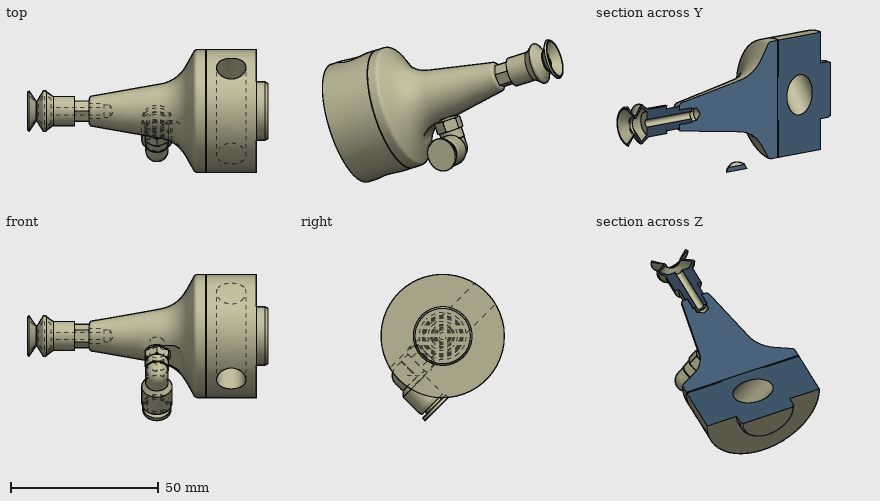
import cadquery as cq
import math


overall_length = 81.8
spigot_length = 4.0
base_length = 17.0
joint_gap = 0.2
rim_width = 2.7
cup_length = 16.0
hex_length = 5.0

spigot_start = overall_length - spigot_length
base_start = spigot_start - base_length
housing_end = base_start - joint_gap
housing_start = cup_length + hex_length

rim_radius = 21.0
rim_fillet = 1.5
nose_fillet = 1.2
slim_angle = math.radians(10)
steep_angle = math.radians(60)
slim_end_x = 45.4
slim_end_radius = 9.3
blend_radius = 12.0

spigot_radius = 10.0
spigot_chamfer_length = 1.1
spigot_chamfer_depth = 0.6
cross_hole_diameter = 10.0
land_radius = 8.0

stud_diameter = 5.0
stud_length = 5.0
tap_drill_diameter = 4.2
tap_drill_extra = 2.0
drill_tip_half_angle = math.radians(59)

lip_radius = 6.9
lip_face_radius = 6.5
lip_mouth_radius = 6.1
lip_width = 0.6
neck_radius = 3.5
neck_start = 2.9
neck_end = 3.3
fold_radius = 7.0
fold_flank_radius = 6.6
fold_start = 5.2
fold_end = 6.5
shoulder_start = 8.4
shoulder_radius = 5.2
sleeve_start = 8.9
sleeve_radius = 5.0
throat_outer_radius = 2.9
throat_inner_radius = 2.5
throat_end = 3.7
cavity_radius = 6.0
cavity_peak = 5.8
cavity_floor = 8.0
cavity_floor_radius = 4.0
bore_diameter = 2.5
cup_hex_flats = 7.0
cup_hex_end_radius = 3.8
cup_hex_bevel = 0.25

elbow_x = 44.0
elbow_tilt = -45
seat_distance = 8.0
seat_ring_radius = 3.94
elbow_hex_start = 8.9
elbow_hex_end = 12.7
elbow_hex_flats = 8.0
elbow_hex_end_radius = 4.3
elbow_hex_bevel = 0.3
swivel_radius = 3.94
swivel_end = 15.9
swivel_groove_width = 0.2
swivel_groove_radius = 3.7
corner_distance = 19.0
tube_radius = 3.8
collar_radius = 5.2
collar_bevel_start = 3.6
collar_start = 5.2
collar_taper_start = 12.8
collar_end = 13.9
collar_end_radius = 4.85
ring_neck_radius = 3.5
ring_start = 14.9
ring_end = 16.14
ring_long_radius = 5.6
ring_short_radius = 4.85
hex_recess_diameter = 9.3
scoop_diameter = 16.0
scoop_offset = 1.7
scoop_distance = 16.65


def turned(profile):
    """Close a profile of (x, radius) points drawn on XY and turn it about the X axis."""
    return profile.close().revolve(360, (0, 0, 0), (1, 0, 0))


def x_cylinder(diameter, start, length):
    return cq.Workplane("YZ", origin=(start, 0, 0)).circle(diameter / 2).extrude(length)


def tilt(body):
    """Turn a body built below the main axis to the place of the elbow."""
    return body.rotate((0, 0, 0), (1, 0, 0), elbow_tilt)


def down_cylinder(diameter, start, length):
    """Cylinder on the elbow's inlet axis, measured downward from the main axis."""
    plane = cq.Workplane("XY", origin=(elbow_x, 0, -start))
    return plane.circle(diameter / 2).extrude(-length)


def drill_tip_length(diameter):
    return diameter / 2 / math.tan(drill_tip_half_angle)


def housing_blank():
    nose_end_radius = slim_end_radius - (slim_end_x - housing_start - nose_fillet) * math.tan(slim_angle)
    center_x = slim_end_x - blend_radius * math.sin(slim_angle)
    center_r = slim_end_radius + blend_radius * math.cos(slim_angle)
    middle_angle = (slim_angle + steep_angle) / 2

    def blend_point(angle):
        return center_x + blend_radius * math.sin(angle), center_r - blend_radius * math.cos(angle)

    rim_start = housing_end - rim_width

    def rim_point(angle):
        x = rim_start - rim_fillet * math.sin(angle)
        return x, rim_radius - rim_fillet * (1 - math.cos(angle))

    profile = (
        cq.Workplane("XY")
        .moveTo(housing_start, 0)
        .lineTo(housing_start, nose_end_radius - nose_fillet)
        .radiusArc((housing_start + nose_fillet, nose_end_radius), nose_fillet)
        .lineTo(slim_end_x, slim_end_radius)
        .threePointArc(blend_point(middle_angle), blend_point(steep_angle))
        .lineTo(*rim_point(steep_angle))
        .threePointArc(rim_point(steep_angle / 2), (rim_start, rim_radius))
        .lineTo(housing_end, rim_radius)
        .lineTo(housing_end, 0)
    )
    return turned(profile)


def nose_hole():
    drill_end = housing_start + stud_length + tap_drill_extra
    profile = (
        cq.Workplane("XY")
        .moveTo(housing_start, 0)
        .lineTo(housing_start, stud_diameter / 2)
        .lineTo(housing_start + stud_length, stud_diameter / 2)
        .lineTo(housing_start + stud_length, tap_drill_diameter / 2)
        .lineTo(drill_end, tap_drill_diameter / 2)
        .lineTo(drill_end + drill_tip_length(tap_drill_diameter), 0)
    )
    return turned(profile)


def make_housing():
    stud_hole = down_cylinder(stud_diameter, seat_distance - stud_length, stud_length)
    seat = down_cylinder(2 * seat_ring_radius, seat_distance, elbow_hex_start - seat_distance)
    hex_recess = down_cylinder(hex_recess_diameter, elbow_hex_start, elbow_hex_end - elbow_hex_start)
    scoop = (
        cq.Workplane("XZ", origin=(elbow_x + scoop_offset, 0, -scoop_distance))
        .circle(scoop_diameter / 2)
        .extrude(rim_radius, both=True)
    )
    housing = housing_blank().cut(nose_hole())
    for cutter in (stud_hole, seat, hex_recess, scoop):
        housing = housing.cut(tilt(cutter))
    return housing


def make_base():
    profile = (
        cq.Workplane("XY")
        .moveTo(housing_end, 0)
        .lineTo(housing_end, land_radius)
        .lineTo(base_start, land_radius)
        .lineTo(base_start, rim_radius)
        .lineTo(spigot_start, rim_radius)
        .lineTo(spigot_start, spigot_radius)
        .lineTo(overall_length - spigot_chamfer_length, spigot_radius)
        .lineTo(overall_length, spigot_radius - spigot_chamfer_depth)
        .lineTo(overall_length, 0)
    )
    hole = (
        cq.Workplane("XY", origin=(base_start + base_length / 2, 0, 0))
        .circle(cross_hole_diameter / 2)
        .extrude(2 * rim_radius, both=True)
    )
    return turned(profile).cut(tilt(hole))


def hex_bar(plane, flats, length, end_radius, bevel):
    """Hexagon bar with corners on the local Y axis and both ends beveled."""
    corner_diameter = flats / math.cos(math.pi / 6)
    bar = plane.transformed(rotate=(0, 0, 90)).polygon(6, corner_diameter).extrude(length)
    envelope = plane.circle(corner_diameter / 2).extrude(length)
    bevel_depth = corner_diameter / 2 - end_radius
    return bar.intersect(envelope.edges("%CIRCLE").chamfer(bevel, bevel_depth))


def make_suction_cup():
    fold_middle = (fold_start + fold_end) / 2
    profile = (
        cq.Workplane("XY")
        .moveTo(cavity_floor, 0)
        .lineTo(cavity_floor, cavity_floor_radius)
        .lineTo(cavity_peak, cavity_radius)
        .lineTo(throat_end, throat_inner_radius)
        .lineTo(neck_start, throat_outer_radius)
        .lineTo(0, lip_mouth_radius)
        .lineTo(0, lip_face_radius)
        .lineTo(lip_width, lip_radius)
        .lineTo(neck_start, neck_radius)
        .lineTo(neck_end, neck_radius)
        .lineTo(fold_start, fold_flank_radius)
        .threePointArc((fold_middle, fold_radius), (fold_end, fold_flank_radius))
        .lineTo(shoulder_start, shoulder_radius)
        .lineTo(sleeve_start, sleeve_radius)
        .lineTo(cup_length, sleeve_radius)
        .lineTo(cup_length, 0)
    )
    hex_plane = cq.Workplane("YZ", origin=(cup_length, 0, 0))
    hexagon = hex_bar(hex_plane, cup_hex_flats, hex_length, cup_hex_end_radius, cup_hex_bevel)
    stud = x_cylinder(stud_diameter, housing_start, stud_length)
    bore = x_cylinder(bore_diameter, 0, housing_start + stud_length)
    return turned(profile).union(hexagon).union(stud).cut(bore)


def make_elbow():
    stud = down_cylinder(stud_diameter, seat_distance - stud_length, stud_length)
    seat_ring = down_cylinder(2 * seat_ring_radius, seat_distance, elbow_hex_start - seat_distance)
    hex_plane = cq.Workplane("XY", origin=(elbow_x, 0, -elbow_hex_end))
    elbow_hex_length = elbow_hex_end - elbow_hex_start
    hexagon = hex_bar(hex_plane, elbow_hex_flats, elbow_hex_length, elbow_hex_end_radius, elbow_hex_bevel)
    swivel = down_cylinder(2 * swivel_radius, elbow_hex_end, swivel_end - elbow_hex_end)
    groove_core = down_cylinder(2 * swivel_groove_radius, swivel_end, swivel_groove_width)
    tube_start = swivel_end + swivel_groove_width
    tube = down_cylinder(2 * tube_radius, tube_start, corner_distance - tube_start)
    corner = cq.Workplane("XY", origin=(elbow_x, 0, -corner_distance)).sphere(tube_radius)

    outlet_plane = cq.Workplane("XY", origin=(elbow_x, 0, -corner_distance))
    outlet = (
        outlet_plane.lineTo(tube_radius, 0)
        .lineTo(tube_radius, collar_bevel_start)
        .lineTo(collar_radius, collar_start)
        .lineTo(collar_radius, collar_taper_start)
        .lineTo(collar_end_radius, collar_end)
        .lineTo(ring_neck_radius, collar_end)
        .lineTo(ring_neck_radius, ring_start)
        .lineTo(0, ring_start)
        .close()
        .revolve(360, (0, 0, 0), (0, 1, 0))
    )
    release_ring = (
        cq.Workplane("XZ", origin=(elbow_x, ring_start, -corner_distance))
        .ellipse(ring_short_radius, ring_long_radius)
        .extrude(ring_start - ring_end)
    )
    elbow = stud
    for piece in (seat_ring, hexagon, swivel, groove_core, tube, corner, outlet, release_ring):
        elbow = elbow.union(piece)
    return tilt(elbow)


housing = make_housing()
base = make_base()
suction_cup = make_suction_cup()
elbow = make_elbow()

result = cq.Compound.makeCompound([housing.val(), base.val(), suction_cup.val(), elbow.val()])